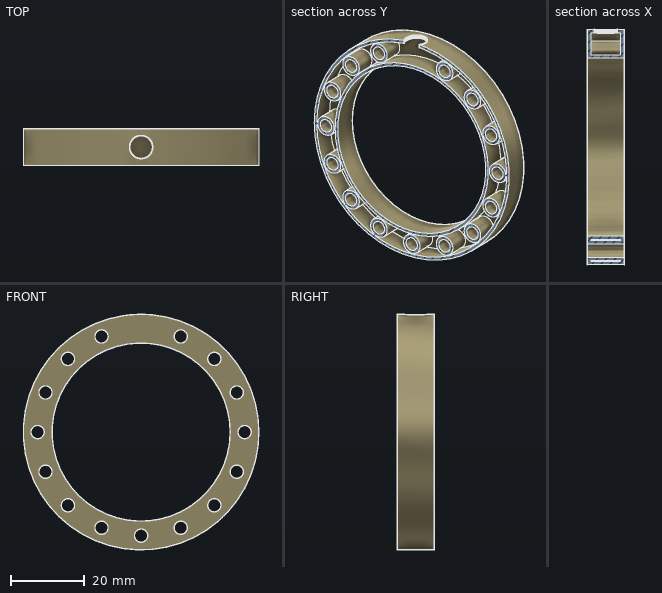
import cadquery as cq

outer_diameter = 63.8
bore_diameter = 48.1
ring_width = 10.0
wall_thickness = 1.0

bolt_positions = 16
bolt_circle_diameter = 56.0
bolt_hole_diameter = 3.5
bolt_sleeve_diameter = bolt_hole_diameter + 2 * wall_thickness

port_crest_diameter = 6.05
port_root_diameter = 6.4
port_groove_pitch = 0.25
port_groove_count = 5
port_overshoot = 0.05


def make_ring(outside, inside, width):
    """Plain ring extruded symmetrically about the XZ plane."""
    profile = cq.Workplane("XZ").circle(outside / 2).circle(inside / 2)
    return profile.extrude(width / 2, both=True)


def make_bolt_cylinders(diameter):
    """Full-width cylinders at every bolt position except the one under the port."""
    pitch_angle = 360 / bolt_positions
    return (
        cq.Workplane("XZ")
        .polarArray(
            bolt_circle_diameter / 2,
            90 + pitch_angle,
            pitch_angle * (bolt_positions - 2),
            bolt_positions - 1,
        )
        .circle(diameter / 2)
        .extrude(ring_width / 2, both=True)
    )


def make_channel():
    """Cutter for the annular channel, leaving a sleeve of material around each bolt hole."""
    channel = make_ring(
        outer_diameter - 2 * wall_thickness,
        bore_diameter + 2 * wall_thickness,
        ring_width - 2 * wall_thickness,
    )
    return channel.cut(make_bolt_cylinders(bolt_sleeve_diameter))


def make_port():
    """Cutter starting inside the channel and leaving through the outer wall."""
    crest_radius = port_crest_diameter / 2
    root_radius = port_root_diameter / 2
    channel_middle = (outer_diameter + bore_diameter) / 4
    top = outer_diameter / 2 + port_overshoot

    section = cq.Workplane("YZ").moveTo(0, top).lineTo(crest_radius, top)
    for groove in range(port_groove_count):
        groove_top = top - groove * port_groove_pitch
        section = section.lineTo(root_radius, groove_top - port_groove_pitch / 2)
        section = section.lineTo(crest_radius, groove_top - port_groove_pitch)
    section = section.lineTo(crest_radius, channel_middle).lineTo(0, channel_middle).close()
    return section.revolve(360, (0, 0, 0), (0, 1, 0))


ring = make_ring(outer_diameter, bore_diameter, ring_width)
hollow_ring = ring.cut(make_channel()).cut(make_port())
result = hollow_ring.cut(make_bolt_cylinders(bolt_hole_diameter))